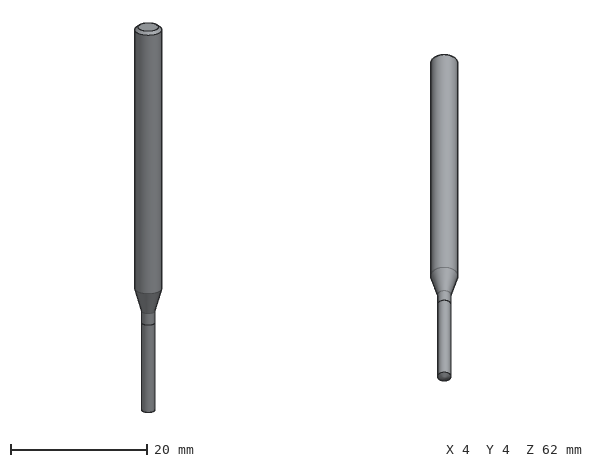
import cadquery as cq
import math

total_length = 62.0
shank_diameter = 4.0
drill_diameter = 2.0
point_angle = 130.0
split_height = 14.5
neck_length = 1.85
taper_length = 3.65
chamfer_height = 0.45
chamfer_width = 0.5

shank_radius = shank_diameter / 2
drill_radius = drill_diameter / 2
point_height = drill_radius / math.tan(math.radians(point_angle / 2))
taper_start = split_height + neck_length
taper_end = taper_start + taper_length


def revolve_profile(points):
    """Turn a closed (radius, height) outline about the Z axis."""
    return cq.Workplane("XZ").polyline(points).close().revolve(360, (0, 0, 0), (0, 1, 0))


def make_drill_head():
    """Cylindrical cutting head with a conical point."""
    return revolve_profile([
        (0, 0),
        (drill_radius, point_height),
        (drill_radius, split_height),
        (0, split_height),
    ])


def make_shank():
    """Neck, taper and gripping cylinder with a chamfered end."""
    return revolve_profile([
        (0, split_height),
        (drill_radius, split_height),
        (drill_radius, taper_start),
        (shank_radius, taper_end),
        (shank_radius, total_length - chamfer_height),
        (shank_radius - chamfer_width, total_length),
        (0, total_length),
    ])


drill_head = make_drill_head()
shank = make_shank()

result = cq.Compound.makeCompound([drill_head.val(), shank.val()])